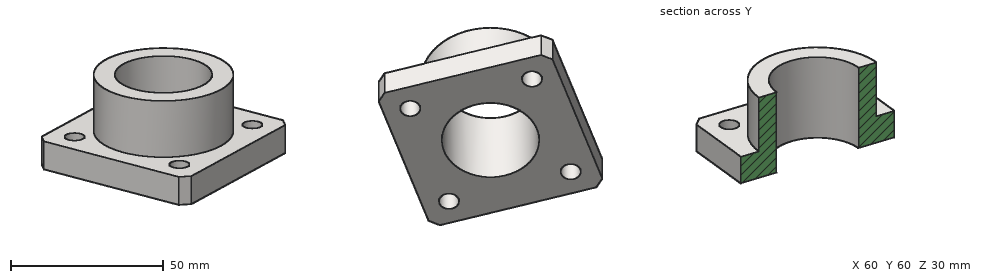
import cadquery as cq

flange_side = 60.0
flange_thickness = 10.0
corner_chamfer = 3.0

total_height = 30.0
collar_diameter = 46.0
bore_diameter = 32.0

mounting_hole_diameter = 6.6
mounting_hole_spacing = 42.0


def make_flange():
    """Square plate resting on Z = 0 with chamfered vertical corners."""
    plate = cq.Workplane("XY").rect(flange_side, flange_side).extrude(flange_thickness)
    return plate.edges("|Z").chamfer(corner_chamfer)


def make_collar():
    """Solid cylinder from the underside of the flange to the full height."""
    return cq.Workplane("XY").circle(collar_diameter / 2).extrude(total_height)


def make_bore():
    """Cutter for the central hole through the collar and flange."""
    return cq.Workplane("XY").circle(bore_diameter / 2).extrude(total_height)


def make_mounting_holes():
    """Cutters for the four holes through the flange."""
    return (
        cq.Workplane("XY")
        .rect(mounting_hole_spacing, mounting_hole_spacing, forConstruction=True)
        .vertices()
        .circle(mounting_hole_diameter / 2)
        .extrude(flange_thickness)
    )


body = make_flange().union(make_collar())
result = body.cut(make_bore()).cut(make_mounting_holes())